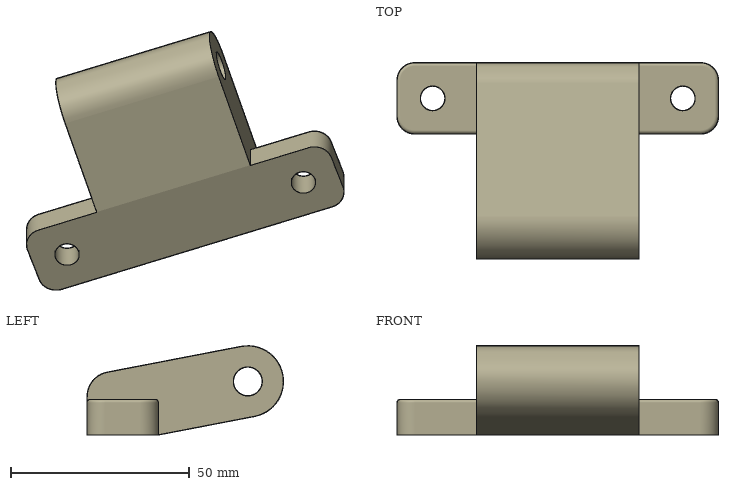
import cadquery as cq
import math

BASE_LENGTH = 90.0
BASE_DEPTH = 20.0
BASE_HEIGHT = 10.0
BASE_CORNER_RADIUS = 5.0
BASE_TOP_FILLET = 1.0
MOUNT_HOLE_DIAMETER = 6.8
MOUNT_HOLE_EDGE_DISTANCE = 10.0

ARM_WIDTH = 45.5
ARM_REAR_RADIUS = 7.0
BARREL_RADIUS = 10.0
BARREL_Y = -45.0
BARREL_Z = 15.0
PIVOT_HOLE_DIAMETER = 8.0


def make_base():
    """Rounded plate with a softened top edge."""
    return (
        cq.Workplane("XY")
        .box(BASE_LENGTH, BASE_DEPTH, BASE_HEIGHT, centered=(True, True, False))
        .translate((0, -BASE_DEPTH / 2, 0))
        .edges("|Z")
        .fillet(BASE_CORNER_RADIUS)
        .faces(">Z")
        .edges()
        .fillet(BASE_TOP_FILLET)
    )


def make_arm():
    """Solid arm: parallel upper and lower faces, both tangent to the barrel."""
    toe_y = -BASE_DEPTH
    run = toe_y - BARREL_Y
    slope = math.atan2(BARREL_Z, run) - math.asin(BARREL_RADIUS / math.hypot(run, BARREL_Z))
    normal_y = math.sin(slope)
    normal_z = math.cos(slope)

    upper_tangent = (BARREL_Y + BARREL_RADIUS * normal_y, BARREL_Z + BARREL_RADIUS * normal_z)
    lower_tangent = (BARREL_Y - BARREL_RADIUS * normal_y, BARREL_Z - BARREL_RADIUS * normal_z)
    barrel_front = (BARREL_Y - BARREL_RADIUS * normal_z, BARREL_Z + BARREL_RADIUS * normal_y)
    rear_top = (0, upper_tangent[1] + upper_tangent[0] * math.tan(slope))

    arm = (
        cq.Workplane("YZ")
        .moveTo(0, 0)
        .lineTo(toe_y, 0)
        .lineTo(*lower_tangent)
        .threePointArc(barrel_front, upper_tangent)
        .lineTo(*rear_top)
        .close()
        .extrude(ARM_WIDTH / 2, both=True)
    )
    return arm.edges("|X").edges(">Y").edges(">Z").fillet(ARM_REAR_RADIUS)


def make_pivot_hole():
    """Cutter for the pivot bore along the full width of the arm."""
    return (
        cq.Workplane("YZ")
        .center(BARREL_Y, BARREL_Z)
        .circle(PIVOT_HOLE_DIAMETER / 2)
        .extrude(ARM_WIDTH / 2, both=True)
    )


def make_mount_holes():
    """Cutters for the vertical through holes, one in each base ear."""
    hole_x = BASE_LENGTH / 2 - MOUNT_HOLE_EDGE_DISTANCE
    return (
        cq.Workplane("XY")
        .pushPoints([(-hole_x, -BASE_DEPTH / 2), (hole_x, -BASE_DEPTH / 2)])
        .circle(MOUNT_HOLE_DIAMETER / 2)
        .extrude(BASE_HEIGHT)
    )


body = make_base().union(make_arm())
result = body.cut(make_pivot_hole()).cut(make_mount_holes())